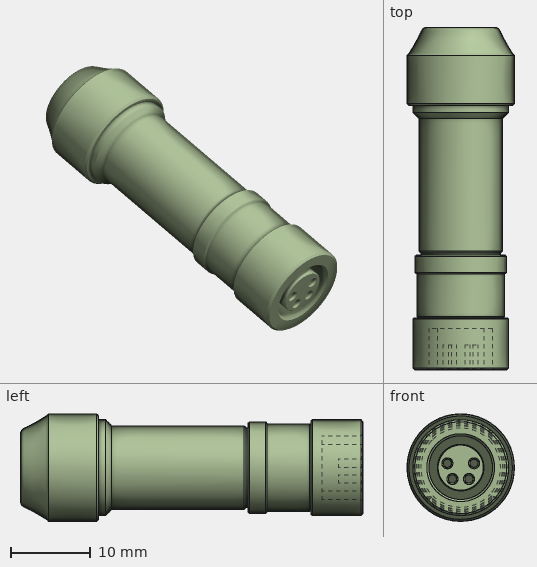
import cadquery as cq
import math

length = 43.0
ring_end = 6.55
sleeve_start = 6.7
sleeve_end = 12.05
flange_end = 14.4
body_start = 14.9
body_end = 31.55
collar_end = 33.2
head_end = 39.47

ring_radius = 6.0
sleeve_radius = 5.5
flange_radius = 5.75
neck_radius = 5.0
body_radius = 5.25
collar_radius = ring_radius
head_radius = 6.75
nose_base_radius = 6.5
nose_tip_radius = 4.75

ring_front_chamfer = 0.25
small_chamfer = 0.17
head_rear_chamfer = 0.25
nose_tip_fillet = 0.75
nose_hollow = 0.1

bore_radius = 4.0
bore_chamfer = 0.25
insert_radius = 2.92
insert_chamfer = 0.1
insert_recess = 0.1
socket_depth = 5.15

contact_circle_radius = 1.75
contact_places = 5
contact_radius = 0.5
contact_chamfer = 0.17
contact_depth = 3.0


def revolve_about_y(profile):
    return profile.close().revolve(360, (0, 0, 0), (0, 1, 0))


def make_shell():
    """Solid outer form: ring, sleeve, flange, neck, body, collar, head and nose."""
    nose_start = head_end + head_radius - nose_base_radius
    nose_middle = ((nose_base_radius + nose_tip_radius) / 2 - nose_hollow, (nose_start + length) / 2)
    cone_start = body_end + collar_radius - body_radius
    profile = (
        cq.Workplane("XY")
        .lineTo(ring_radius - ring_front_chamfer, 0)
        .lineTo(ring_radius, ring_front_chamfer)
        .lineTo(ring_radius, ring_end - small_chamfer)
        .lineTo(ring_radius - small_chamfer, ring_end)
        .lineTo(sleeve_radius - small_chamfer, ring_end)
        .lineTo(sleeve_radius, sleeve_start)
        .lineTo(sleeve_radius, sleeve_end)
        .lineTo(flange_radius, sleeve_end + small_chamfer)
        .lineTo(flange_radius, flange_end - small_chamfer)
        .lineTo(flange_radius - small_chamfer, flange_end)
        .lineTo(neck_radius, flange_end)
        .lineTo(neck_radius, body_start - (body_radius - neck_radius))
        .lineTo(body_radius, body_start)
        .lineTo(body_radius, body_end)
        .lineTo(collar_radius, cone_start)
        .lineTo(collar_radius, collar_end)
        .lineTo(head_radius - head_rear_chamfer, collar_end)
        .lineTo(head_radius, collar_end + head_rear_chamfer)
        .lineTo(head_radius, head_end)
        .lineTo(nose_base_radius, nose_start)
        .threePointArc(nose_middle, (nose_tip_radius, length))
        .lineTo(0, length)
    )
    return revolve_about_y(profile).faces(">Y").edges().fillet(nose_tip_fillet)


def make_socket():
    """Material removed from the front: the bore around the chamfered insert."""
    profile = (
        cq.Workplane("XY")
        .lineTo(bore_radius + bore_chamfer, 0)
        .lineTo(bore_radius, bore_chamfer)
        .lineTo(bore_radius, socket_depth)
        .lineTo(insert_radius, socket_depth)
        .lineTo(insert_radius, insert_recess + insert_chamfer)
        .lineTo(insert_radius - insert_chamfer, insert_recess)
        .lineTo(0, insert_recess)
    )
    return revolve_about_y(profile)


def make_contact_hole(x, z):
    """Blind hole with a countersunk mouth, cut from the insert face."""
    profile = (
        cq.Workplane("XY")
        .lineTo(contact_radius + contact_chamfer, 0)
        .lineTo(contact_radius, contact_chamfer)
        .lineTo(contact_radius, contact_depth)
        .lineTo(0, contact_depth)
    )
    return revolve_about_y(profile).translate((x, insert_recess, z))


result = make_shell().cut(make_socket())
for place in range(1, contact_places):
    angle = math.radians(90 + place * 360 / contact_places)
    hole_x = contact_circle_radius * math.cos(angle)
    hole_z = contact_circle_radius * math.sin(angle)
    result = result.cut(make_contact_hole(hole_x, hole_z))